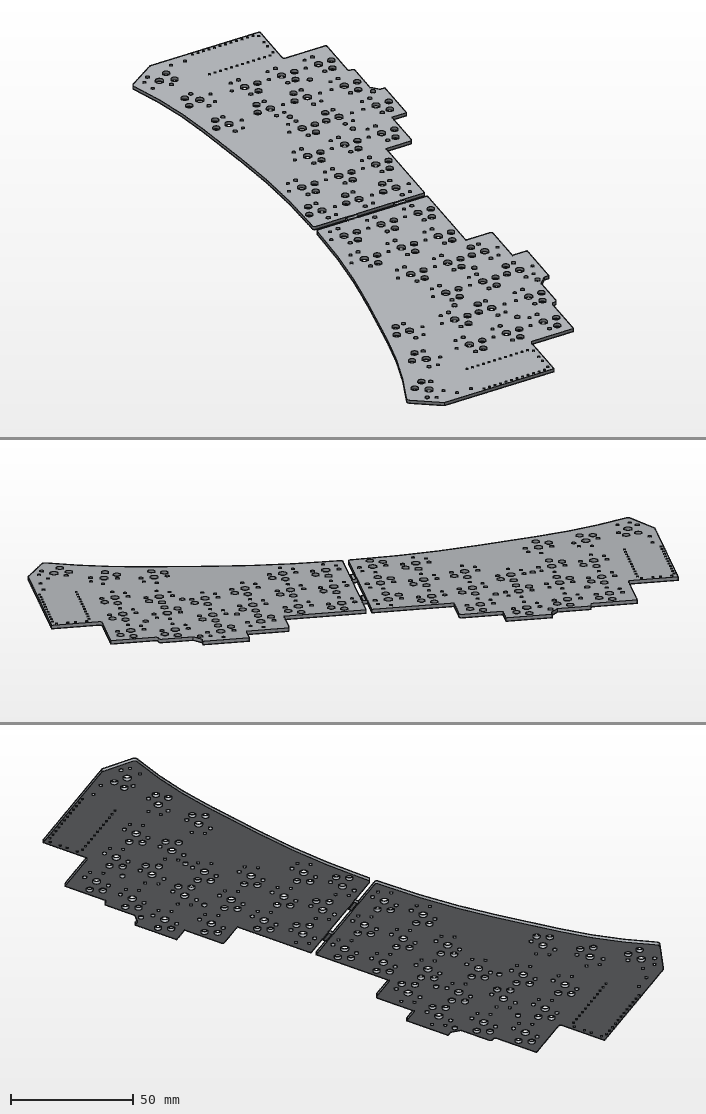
import cadquery as cq
import math


THICKNESS = 1.6
HALF_LENGTH = 261.11 / 2
HALF_WIDTH = 90.74 / 2
HALF_GAP = 1.2

COLUMN_PITCH = 18.0
ROW_PITCH = 17.05
FIRST_COLUMN_X = 9.75
TOP_KEY_Y = (17.75, 17.75, 29.8, 36.6, 31.35, 28.8)
INNER_COLUMN, INDEX_COLUMN, MIDDLE_COLUMN, RING_COLUMN, PINKY_COLUMN = 0, 2, 3, 4, 5

KEY_MARGIN = HALF_WIDTH - TOP_KEY_Y[MIDDLE_COLUMN]
INNER_TOP_Y = TOP_KEY_Y[INNER_COLUMN] + KEY_MARGIN
INDEX_TOP_Y = TOP_KEY_Y[INDEX_COLUMN] + KEY_MARGIN
RING_TOP_Y = TOP_KEY_Y[RING_COLUMN] + KEY_MARGIN
PINKY_TOP_Y = TOP_KEY_Y[PINKY_COLUMN] + KEY_MARGIN
CONTROLLER_TOP_Y = 17.7
INDEX_STEP_X = 35.42
MIDDLE_STEP_X = 53.48
RING_STEP_X = 72.8
PINKY_STEP_X = 90.1
CONTROLLER_STEP_X = 109.7
STEP_CHAMFER = 3.1
CORNER_RADIUS = 1.0

BOTTOM_Y = -24.75
INNER_ARC_START_X = 3.9
INNER_ARC_RADIUS = 305.0
RUN_SLOPE = math.radians(9.87)
OUTER_ARC_START_X = 81.9
OUTER_ARC_RADIUS = 176.0
TIP_RADIUS = 1.5
SLANT_TOP_Y = -32.9

BRIDGE_WIDTH = 5.0
BRIDGE_Y = (14.6, -7.4)
BITE_DIAMETER = 0.5
BITE_X = 0.92
BITES_PER_ROW = 5
BITE_PITCH = 0.9

STEM_DIAMETER = 3.43
SIDE_DIAMETER = 1.7
SIDE_OFFSET = 5.5
SOCKET_DIAMETER = 3.0
PIN_DIAMETER = 1.27
CONTACTS = ((0.0, 5.9), (5.0, 3.8))

UP = 0.0
DOWN = 180.0
LEFT_FACINGS = (
    (DOWN, DOWN, DOWN),
    (UP, UP, UP),
    (UP, UP, UP),
    (UP, DOWN, UP),
    (UP, DOWN, DOWN),
    (UP, UP, UP),
)
RIGHT_FACINGS = (
    (UP, UP, UP),
    (UP, UP, UP),
    (DOWN, UP, UP),
    (DOWN, UP, UP),
    (UP, DOWN, UP),
    (UP, UP, UP),
)
THUMB_KEYS = ((80.1, -22.7, 0.0), (100.4, -25.6, 15.0), (119.6, -34.25, 35.0))
LEFT_THUMB_FACINGS = (DOWN, DOWN, UP)
RIGHT_THUMB_FACINGS = (DOWN, DOWN, DOWN)

MOUNT_DIAMETER = 2.2
MOUNT_HOLES = ((53.9, 20.8), (92.0, 20.8), (73.0, 1.7), (73.0, 40.0))

HEADER_DIAMETER = 0.81
HEADER_PINS = 12
HEADER_PITCH = 2.54
HEADER_SPAN = 6 * HEADER_PITCH
HEADER_INNER_X = 114.2

WIRE_DIAMETER = 0.9
WIRE_Y = 16.0
WIRE_ROW_CENTER_X = 121.9
WIRE_OFFSETS = (-6.3, -1.6, 1.6, 6.3)

EDGE_PAIR_DIAMETER = 1.3
EDGE_PAIR_X = 126.9
EDGE_PAIR_Y = (-18.7, -25.1)


def point_on_circle(center, radius, angle):
    return (center[0] + radius * math.cos(angle), center[1] + radius * math.sin(angle))


def round_corner(plate, corner, radius):
    """Rounds the upright edge of the plate at the given outline corner."""
    nearest = cq.selectors.NearestToPointSelector((*corner, THICKNESS / 2))
    return plate.edges("|Z").edges(nearest).fillet(radius)


def right_plate():
    """Right half of the board without holes."""
    run_angle = math.pi / 2 - RUN_SLOPE
    inner_center = (INNER_ARC_START_X, BOTTOM_Y - INNER_ARC_RADIUS)
    inner_arc_middle = point_on_circle(inner_center, INNER_ARC_RADIUS, math.pi / 2 - RUN_SLOPE / 2)
    run_start = point_on_circle(inner_center, INNER_ARC_RADIUS, run_angle)
    run_drop = (OUTER_ARC_START_X - run_start[0]) * math.tan(RUN_SLOPE)
    run_end = (OUTER_ARC_START_X, run_start[1] - run_drop)
    outer_center = point_on_circle(run_end, -OUTER_ARC_RADIUS, run_angle)

    tip_center_y = TIP_RADIUS - HALF_WIDTH
    tip_angle = math.asin((tip_center_y - outer_center[1]) / (OUTER_ARC_RADIUS + TIP_RADIUS))
    tip_center = point_on_circle(outer_center, OUTER_ARC_RADIUS + TIP_RADIUS, tip_angle)
    outer_arc_end = point_on_circle(outer_center, OUTER_ARC_RADIUS, tip_angle)
    outer_arc_middle = point_on_circle(outer_center, OUTER_ARC_RADIUS, (run_angle + tip_angle) / 2)

    reach_x = HALF_LENGTH - tip_center[0]
    reach_y = SLANT_TOP_Y - tip_center_y
    slant_normal = math.atan2(reach_y, reach_x) - math.acos(TIP_RADIUS / math.hypot(reach_x, reach_y))
    slant_end = point_on_circle(tip_center, TIP_RADIUS, slant_normal)

    gap_corner = (HALF_GAP, BOTTOM_Y)
    index_corner = (INDEX_STEP_X, INDEX_TOP_Y)
    ring_corner = (PINKY_STEP_X, RING_TOP_Y)
    pinky_notch = (PINKY_STEP_X, PINKY_TOP_Y)
    controller_notch = (CONTROLLER_STEP_X, CONTROLLER_TOP_Y)
    plate = (
        cq.Workplane("XY")
        .moveTo(*gap_corner)
        .lineTo(HALF_GAP, INNER_TOP_Y)
        .lineTo(INDEX_STEP_X, INNER_TOP_Y)
        .lineTo(*index_corner)
        .lineTo(MIDDLE_STEP_X, INDEX_TOP_Y)
        .lineTo(MIDDLE_STEP_X, HALF_WIDTH)
        .lineTo(RING_STEP_X, HALF_WIDTH)
        .lineTo(RING_STEP_X, RING_TOP_Y + STEP_CHAMFER)
        .lineTo(RING_STEP_X + STEP_CHAMFER, RING_TOP_Y)
        .lineTo(*ring_corner)
        .lineTo(*pinky_notch)
        .lineTo(CONTROLLER_STEP_X, PINKY_TOP_Y)
        .lineTo(*controller_notch)
        .lineTo(HALF_LENGTH, CONTROLLER_TOP_Y)
        .lineTo(HALF_LENGTH, SLANT_TOP_Y)
        .lineTo(*slant_end)
        .threePointArc((tip_center[0], -HALF_WIDTH), outer_arc_end)
        .threePointArc(outer_arc_middle, run_end)
        .lineTo(*run_start)
        .threePointArc(inner_arc_middle, (INNER_ARC_START_X, BOTTOM_Y))
        .close()
        .extrude(THICKNESS)
    )
    for corner in (gap_corner, index_corner, ring_corner, pinky_notch, controller_notch):
        plate = round_corner(plate, corner, CORNER_RADIUS)
    return plate


def bridge(y):
    """Tab across the gap between the halves."""
    return cq.Workplane("XY").center(0, y).rect(2 * HALF_GAP, BRIDGE_WIDTH).extrude(THICKNESS)


def blank_board():
    right = right_plate()
    board = right.union(right.mirror("YZ"))
    for y in BRIDGE_Y:
        board = board.union(bridge(y))
    return board


def half_keys(side, facings, thumb_facings):
    """Keys of one half as (x, y, rotation); side is -1 for left and 1 for right."""
    keys = []
    for column, column_facings in enumerate(facings):
        x = side * (FIRST_COLUMN_X + column * COLUMN_PITCH)
        for row, facing in enumerate(column_facings):
            keys.append((x, TOP_KEY_Y[column] - row * ROW_PITCH, facing))
    for (x, y, tilt), facing in zip(THUMB_KEYS, thumb_facings):
        keys.append((side * x, y, facing - side * tilt))
    return keys


def on_keys(keys, offsets):
    """Footprint offsets placed on every key, turned with the key."""
    points = []
    for x, y, rotation in keys:
        cosine = math.cos(math.radians(rotation))
        sine = math.sin(math.radians(rotation))
        for dx, dy in offsets:
            points.append((x + cosine * dx - sine * dy, y + sine * dx + cosine * dy))
    return points


def on_both_halves(points):
    return [(side * x, y) for side in (-1, 1) for x, y in points]


def pin_row(x, center_y, count, pitch):
    """Evenly spaced points along Y."""
    return [(x, center_y + (i - (count - 1) / 2) * pitch) for i in range(count)]


def drill(board, points, diameter):
    """Cuts through holes at all points."""
    return board.cut(cq.Workplane("XY").pushPoints(points).circle(diameter / 2).extrude(THICKNESS))


def drill_switches(board):
    keys = half_keys(-1, LEFT_FACINGS, LEFT_THUMB_FACINGS)
    keys += half_keys(1, RIGHT_FACINGS, RIGHT_THUMB_FACINGS)
    opposite_contacts = [(-dx, -dy) for dx, dy in CONTACTS]
    board = drill(board, on_keys(keys, [(0, 0)]), STEM_DIAMETER)
    board = drill(board, on_keys(keys, [(-SIDE_OFFSET, 0), (SIDE_OFFSET, 0)]), SIDE_DIAMETER)
    board = drill(board, on_keys(keys, CONTACTS), SOCKET_DIAMETER)
    return drill(board, on_keys(keys, opposite_contacts), PIN_DIAMETER)


def drill_controllers(board):
    header = []
    for x in (HEADER_INNER_X, HEADER_INNER_X + HEADER_SPAN):
        header += pin_row(x, 0, HEADER_PINS, HEADER_PITCH)
    wires = [(WIRE_ROW_CENTER_X + offset, WIRE_Y) for offset in WIRE_OFFSETS]
    edge_pair = [(EDGE_PAIR_X, y) for y in EDGE_PAIR_Y]
    board = drill(board, on_both_halves(header), HEADER_DIAMETER)
    board = drill(board, on_both_halves(wires), WIRE_DIAMETER)
    return drill(board, on_both_halves(edge_pair), EDGE_PAIR_DIAMETER)


def drill_bites(board):
    bites = []
    for y in BRIDGE_Y:
        bites += pin_row(BITE_X, y, BITES_PER_ROW, BITE_PITCH)
    return drill(board, on_both_halves(bites), BITE_DIAMETER)


result = blank_board()
result = drill_switches(result)
result = drill_controllers(result)
result = drill(result, on_both_halves(MOUNT_HOLES), MOUNT_DIAMETER)
result = drill_bites(result)